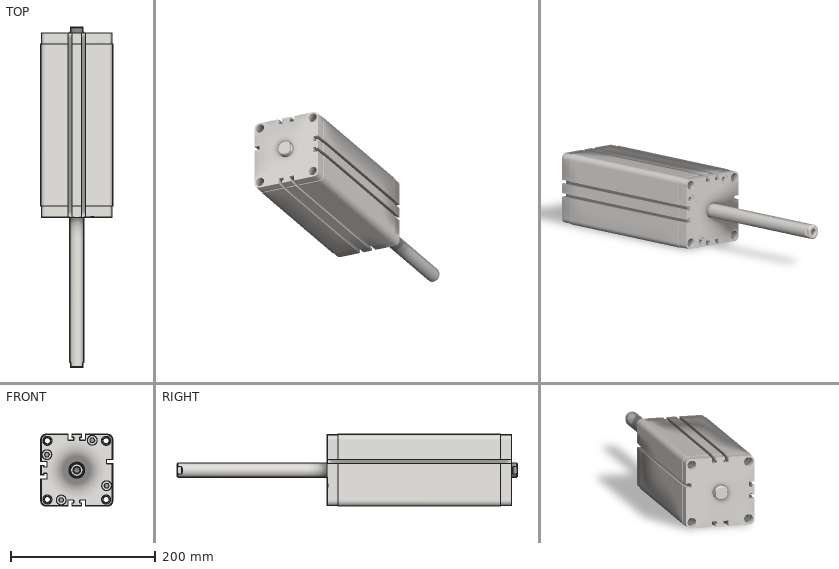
import cadquery as cq
import math

BODY_LENGTH = 256.0
BARREL_SIDE = 100.0
BARREL_CORNER_RADIUS = 8.0
CAP_SIDE = 98.4
CAP_LENGTH = 15.5
CAP_CORNER_RADIUS = BARREL_CORNER_RADIUS - (BARREL_SIDE - CAP_SIDE) / 2

SLOT_OUTER_WALL = 12.0
SLOT_INNER_WALL = 6.7
SLOT_DEPTH = 8.5
UNDERCUT_WALL = 4.5
UNDERCUT_HEIGHT = 4.0
SIDE_SLOT_LOW = 9.0
SIDE_SLOT_HIGH = 14.7

MOUNT_OFFSET = 40.7
MOUNT_HOLE_DIAMETER = 8.38
MOUNT_BORE_DIAMETER = 12.5
MOUNT_BORE_DEPTH = CAP_LENGTH

SCREW_NEAR_OFFSET = 21.5
SCREW_FAR_OFFSET = 41.4
SCREW_HEAD_DIAMETER = 13.5
SCREW_HEAD_RECESS = 1.0
SOCKET_ACROSS_FLATS = 6.0
SOCKET_DEPTH = 4.0

ROD_DIAMETER = 20.0
ROD_BORE_DIAMETER = 22.0
ROD_BORE_DEPTH = 3.0
ROD_FRONT_REACH = 208.0
ROD_REAR_REACH = 8.0
ROD_CHAMFER = 1.5
FLATS_WIDTH = 17.0
FLATS_LENGTH = 6.0
ROD_HOLE_DIAMETER = 8.57
ROD_HOLE_MOUTH_DIAMETER = 10.25
ROD_HOLE_DEPTH = 24.0
DRILL_TIP_ANGLE = 118.0


def section(y):
    """Workplane facing the front (-Y) at the given y, with local axes X and Z."""
    return cq.Workplane(cq.Plane(origin=(0, y, 0), xDir=(1, 0, 0), normal=(0, -1, 0)))


def rounded_block(side, corner_radius, y_start, y_end):
    block = section(y_start).rect(side, side).extrude(y_start - y_end)
    return block.edges("|Y").fillet(corner_radius)


def cylinder(diameter, y_start, y_end, centres=((0, 0),)):
    return section(y_start).pushPoints(centres).circle(diameter / 2).extrude(y_start - y_end)


def make_body():
    front_cap = rounded_block(CAP_SIDE, CAP_CORNER_RADIUS, 0, CAP_LENGTH)
    barrel = rounded_block(BARREL_SIDE, BARREL_CORNER_RADIUS, CAP_LENGTH, BODY_LENGTH - CAP_LENGTH)
    rear_cap = rounded_block(CAP_SIDE, CAP_CORNER_RADIUS, BODY_LENGTH - CAP_LENGTH, BODY_LENGTH)
    return front_cap.union(barrel).union(rear_cap)


def hooked_slot(direction):
    """Slot open at the top face, undercut towards the middle; direction is the side, -1 or 1."""
    top = BARREL_SIDE / 2
    floor = top - SLOT_DEPTH
    undercut_top = floor + UNDERCUT_HEIGHT
    outline = [
        (SLOT_OUTER_WALL, top),
        (SLOT_OUTER_WALL, floor),
        (UNDERCUT_WALL, floor),
        (UNDERCUT_WALL, undercut_top),
        (SLOT_INNER_WALL, undercut_top),
        (SLOT_INNER_WALL, top),
    ]
    points = [(direction * x, z) for x, z in outline]
    return section(0).polyline(points).close().extrude(-BODY_LENGTH)


def cut_slots(body):
    """Pairs of hooked slots along the top, left and bottom, and a plain slot along the right."""
    slot_pair = hooked_slot(-1).union(hooked_slot(1))
    for turn in (0, 90, 180):
        body = body.cut(slot_pair.rotate((0, 0, 0), (0, -1, 0), turn))
    width = SIDE_SLOT_HIGH - SIDE_SLOT_LOW
    centre = (BARREL_SIDE / 2 - SLOT_DEPTH / 2, (SIDE_SLOT_LOW + SIDE_SLOT_HIGH) / 2)
    side_slot = section(0).center(*centre).rect(SLOT_DEPTH, width).extrude(-BODY_LENGTH)
    return body.cut(side_slot)


def cut_mounting_holes(body):
    corners = [(x, z) for x in (-MOUNT_OFFSET, MOUNT_OFFSET) for z in (-MOUNT_OFFSET, MOUNT_OFFSET)]
    body = body.cut(cylinder(MOUNT_HOLE_DIAMETER, 0, BODY_LENGTH, corners))
    body = body.cut(cylinder(MOUNT_BORE_DIAMETER, 0, MOUNT_BORE_DEPTH, corners))
    return body.cut(cylinder(MOUNT_BORE_DIAMETER, BODY_LENGTH - MOUNT_BORE_DEPTH, BODY_LENGTH, corners))


def cut_screw_heads(body):
    """Screw heads set slightly below the front cap face, each with a hexagon socket."""
    near, far = SCREW_NEAR_OFFSET, SCREW_FAR_OFFSET
    centres = [(near, far), (-far, near), (-near, -far), (far, -near)]
    body = body.cut(cylinder(SCREW_HEAD_DIAMETER, 0, SCREW_HEAD_RECESS, centres))
    across_corners = SOCKET_ACROSS_FLATS / math.cos(math.pi / 6)
    sockets = section(SCREW_HEAD_RECESS).pushPoints(centres).polygon(6, across_corners)
    return body.cut(sockets.extrude(-SOCKET_DEPTH))


def cut_end_flats(rod, y_end, inward):
    """Two wrench flats at a rod end, each running out to the round surface at 45 degrees."""
    rod_radius = ROD_DIAMETER / 2
    flat = FLATS_WIDTH / 2
    shoulder = y_end + inward * FLATS_LENGTH
    runout = shoulder + inward * (rod_radius - flat)
    for side in (-1, 1):
        outline = [
            (side * flat, y_end),
            (side * flat, shoulder),
            (side * rod_radius, runout),
            (side * rod_radius, y_end),
        ]
        wedge = cq.Workplane("XY").polyline(outline).close().extrude(rod_radius, both=True)
        rod = rod.cut(wedge)
    return rod


def rod_end_hole():
    """Drilled hole in the front rod end, with a conical tip and a 45-degree countersink."""
    radius = ROD_HOLE_DIAMETER / 2
    mouth_radius = ROD_HOLE_MOUTH_DIAMETER / 2
    face = -ROD_FRONT_REACH
    tip_length = radius / math.tan(math.radians(DRILL_TIP_ANGLE / 2))
    half_profile = [
        (0, face),
        (mouth_radius, face),
        (radius, face + mouth_radius - radius),
        (radius, face + ROD_HOLE_DEPTH),
        (0, face + ROD_HOLE_DEPTH + tip_length),
    ]
    return cq.Workplane("XY").polyline(half_profile).close().revolve(360, (0, 0, 0), (0, 1, 0))


def make_rod():
    front = -ROD_FRONT_REACH
    rear = BODY_LENGTH + ROD_REAR_REACH
    rod = cylinder(ROD_DIAMETER, front, rear).faces("<Y or >Y").edges().chamfer(ROD_CHAMFER)
    rod = cut_end_flats(rod, front, 1)
    rod = cut_end_flats(rod, rear, -1)
    return rod.cut(rod_end_hole())


def cut_rod_bores(body):
    """Clearance around the rod at both cap faces."""
    body = body.cut(cylinder(ROD_BORE_DIAMETER, 0, ROD_BORE_DEPTH))
    return body.cut(cylinder(ROD_BORE_DIAMETER, BODY_LENGTH - ROD_BORE_DEPTH, BODY_LENGTH))


body = make_body()
body = cut_slots(body)
body = cut_mounting_holes(body)
body = cut_screw_heads(body)
body = cut_rod_bores(body)
result = body.union(make_rod())